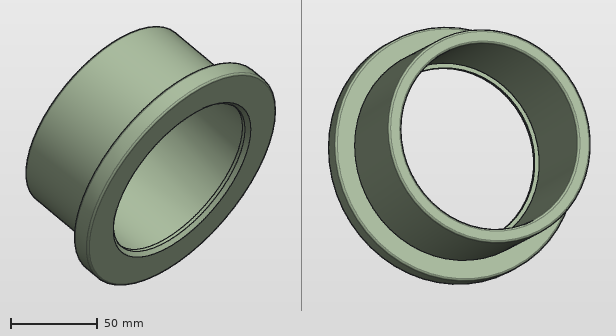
import cadquery as cq

length = 66.0
flange_diameter = 150.0
flange_thickness = 12.0
sleeve_diameter = 126.0
bore_diameter = 110.0
lip_diameter = 104.5
lip_thickness = 4.5
lip_chamfer = 2.4
edge_radius = 1.2

open_end = -length / 2
flange_end = length / 2
flange_start = flange_end - flange_thickness
lip_start = flange_end - lip_thickness


def cylinder(diameter, start, end):
    """Solid cylinder on the X axis between two axial positions."""
    return cq.Workplane("YZ", origin=(start, 0, 0)).circle(diameter / 2).extrude(end - start)


sleeve = cylinder(sleeve_diameter, open_end, flange_end).faces("<X").fillet(edge_radius)

flange = cylinder(flange_diameter, flange_start, flange_end).faces("<X or >X").fillet(edge_radius)

bore = cylinder(bore_diameter, open_end, lip_start)
lip_hole = cylinder(lip_diameter, open_end, flange_end)
body = sleeve.union(flange).cut(bore).cut(lip_hole)

inner_rim = cq.selectors.RadiusNthSelector(0)
body = body.faces("<X").edges(inner_rim).fillet(edge_radius)
result = body.faces(">X").edges(inner_rim).chamfer(lip_chamfer)